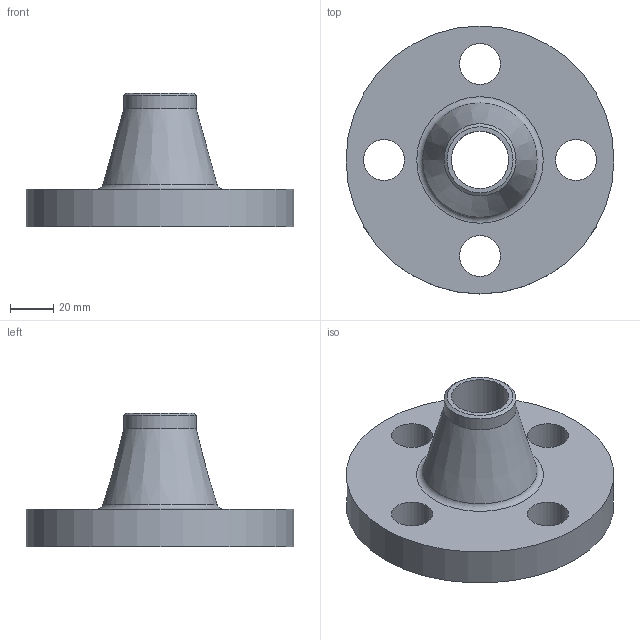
import cadquery as cq
import math

flange_diameter = 124.0
flange_thickness = 17.5
overall_height = 61.98
bore_diameter = 26.6

bolt_circle_diameter = 88.9
bolt_hole_diameter = 19.0
bolt_hole_count = 4

hub_base_diameter = 54.0
hub_fillet_radius = 3.0
neck_diameter = 33.4
neck_length = 7.2

bevel_angle = 37.5
weld_land = 2.0
bevel_width = (neck_diameter - bore_diameter) / 2 - weld_land
bevel_height = bevel_width * math.tan(math.radians(bevel_angle))


def make_flange_plate():
    return cq.Workplane("XY").circle(flange_diameter / 2).extrude(flange_thickness)


def make_hub():
    """Tapered hub, straight neck and bevelled weld end, revolved about Z."""
    neck_radius = neck_diameter / 2
    return (
        cq.Workplane("XZ")
        .moveTo(0, flange_thickness)
        .lineTo(hub_base_diameter / 2, flange_thickness)
        .lineTo(neck_radius, overall_height - neck_length)
        .lineTo(neck_radius, overall_height - bevel_height)
        .lineTo(neck_radius - bevel_width, overall_height)
        .lineTo(0, overall_height)
        .close()
        .revolve(360, (0, 0, 0), (0, 1, 0))
    )


def fillet_hub_base(body):
    """Round the inside corner where the hub meets the flange plate."""
    margin = 0.1
    reach = hub_base_diameter / 2 + margin
    hub_base_zone = cq.selectors.BoxSelector(
        (-reach, -reach, flange_thickness - margin),
        (reach, reach, flange_thickness + margin),
        boundingbox=True,
    )
    return body.edges(hub_base_zone).fillet(hub_fillet_radius)


def cut_bore(body):
    return body.cut(cq.Workplane("XY").circle(bore_diameter / 2).extrude(overall_height))


def cut_bolt_holes(body):
    holes = (
        cq.Workplane("XY")
        .polarArray(bolt_circle_diameter / 2, 0, 360, bolt_hole_count)
        .circle(bolt_hole_diameter / 2)
        .extrude(flange_thickness)
    )
    return body.cut(holes)


flange = make_flange_plate().union(make_hub())
flange = fillet_hub_base(flange)
flange = cut_bore(flange)
result = cut_bolt_holes(flange)